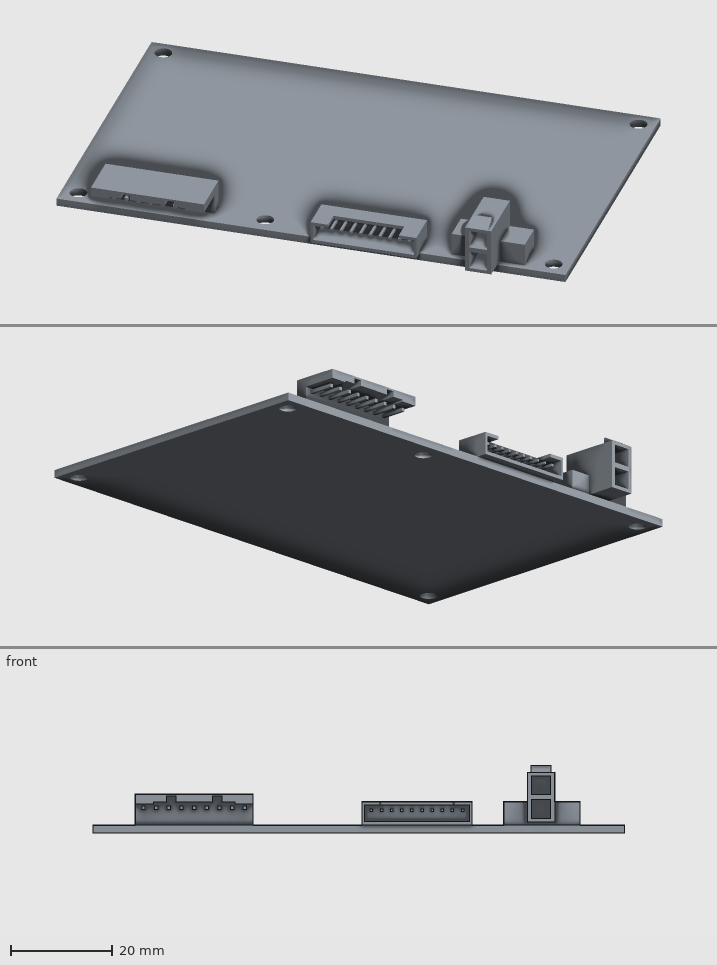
import cadquery as cq


board_length = 105.0
board_width = 65.0
board_thickness = 1.6
hole_diameter = 3.5
hole_inset = 3.5
extra_hole_position = (41.9, 3.9)

socket_left = 8.35
socket_length = 23.3
socket_back = 5.9
socket_front = -4.0
socket_top = 7.7
socket_wall = 2.5
roof_edge_underside = 5.8
roof_underside = 6.15
recess_length = 16.1
roof_groove_width = 1.9
roof_groove_top = 7.3
roof_groove_pitch = 9.1
contact_count = 9
contact_pitch = 2.5
contact_width = 0.65
contact_bottom = 4.7
contact_height = 0.7
contact_front = -2.2

header_left = 53.1
header_length = 21.8
header_back = 5.2
header_front = -2.2
header_top = 6.25
header_wall = 0.7
header_side_wall = 0.5
cavity_back = 3.0
window_back = 1.5
window_length = 14.6
pin_count = 10
pin_pitch = 2.0
pin_size = 0.5
pin_center_height = 4.55
pin_front = -1.1

base_left = 81.1
base_length = 15.1
base_back = 7.7
base_front = 1.4
base_top = 6.25
tower_center = 88.5
tower_width = 5.4
tower_front = -5.0
tower_bottom = 2.2
tower_top = 12.0
port_size = 3.7
port_pitch = 4.7
port_depth = 8.0
latch_width = 4.0
latch_back = -2.0
latch_flat = 0.4
latch_top = 13.4


def box(x_range, y_range, z_range):
    """Block spanning the given ranges along X, Y and Z."""
    (x0, x1), (y0, y1), (z0, z1) = x_range, y_range, z_range
    return cq.Workplane("XY").box(x1 - x0, y1 - y0, z1 - z0, centered=False).translate((x0, y0, z0))


def span(center, size):
    """Range of the given size about a center."""
    return (center - size / 2, center + size / 2)


def row(center, count, pitch):
    """Evenly spaced positions about a center."""
    return [center + (i - (count - 1) / 2) * pitch for i in range(count)]


def make_board():
    board = box((0, board_length), (0, board_width), (0, board_thickness))
    corner_holes = [
        (x, y)
        for x in (hole_inset, board_length - hole_inset)
        for y in (hole_inset, board_width - hole_inset)
    ]
    holes = (
        cq.Workplane("XY")
        .pushPoints(corner_holes + [extra_hole_position])
        .circle(hole_diameter / 2)
        .extrude(board_thickness)
    )
    return board.cut(holes)


def make_card_socket():
    center = socket_left + socket_length / 2
    wall_front = socket_back - socket_wall
    roof_depth = (socket_front, wall_front)
    length = span(center, socket_length)

    socket = box(length, (socket_front, socket_back), (board_thickness, socket_top))
    socket = socket.cut(box(length, roof_depth, (board_thickness, roof_edge_underside)))
    socket = socket.cut(box(span(center, recess_length), roof_depth, (roof_edge_underside, roof_underside)))
    for x in row(center, 2, roof_groove_pitch):
        socket = socket.cut(box(span(x, roof_groove_width), roof_depth, (roof_underside, roof_groove_top)))

    contact_heights = (contact_bottom, contact_bottom + contact_height)
    for x in row(center, contact_count, contact_pitch):
        socket = socket.union(box(span(x, contact_width), (contact_front, socket_back), contact_heights))
    return socket


def make_pin_header():
    center = header_left + header_length / 2
    cavity_depth = (header_front, cavity_back)
    cavity_bottom = board_thickness + header_wall
    cavity_top = header_top - header_wall

    header = box(span(center, header_length), (header_front, header_back), (board_thickness, header_top))
    header = header.cut(
        box(span(center, header_length - 2 * header_side_wall), cavity_depth, (cavity_bottom, cavity_top))
    )
    header = header.cut(box(span(center, window_length), (header_front, window_back), (cavity_top, header_top)))
    for x in row(center, pin_count, pin_pitch):
        header = header.union(
            box(span(x, pin_size), (pin_front, header_back), span(pin_center_height, pin_size))
        )
    return header


def make_latch():
    profile = [
        (latch_back, tower_top),
        (latch_back, latch_top),
        (latch_back - latch_flat, latch_top),
        (tower_front, tower_top),
    ]
    return (
        cq.Workplane("YZ")
        .polyline(profile)
        .close()
        .extrude(latch_width)
        .translate((tower_center - latch_width / 2, 0, 0))
    )


def make_power_connector():
    base = box((base_left, base_left + base_length), (base_front, base_back), (board_thickness, base_top))
    tower = box(span(tower_center, tower_width), (tower_front, base_back), (tower_bottom, tower_top))
    connector = base.union(tower).union(make_latch())
    for z in row((tower_bottom + tower_top) / 2, 2, port_pitch):
        port = box(span(tower_center, port_size), (tower_front, tower_front + port_depth), span(z, port_size))
        connector = connector.cut(port)
    return connector


result = make_board().union(make_card_socket()).union(make_pin_header()).union(make_power_connector())